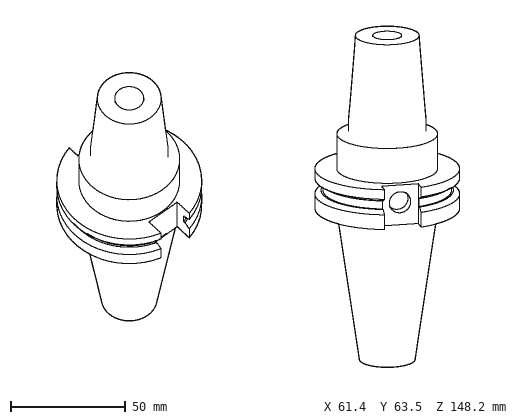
import cadquery as cq
import math

NOSE_TOP_Z = 80.0
NOSE_CONE_LENGTH = 38.0
NOSE_COLLAR_LENGTH = 7.0
TAPER_LENGTH = 68.25
FLANGE_TOP_Z = 19.05
FLANGE_BOTTOM_Z = 0.85

GAUGE_RADIUS = 44.45 / 2
TAPER_RATIO = 7 / 24
TAPER_END_RADIUS = GAUGE_RADIUS - TAPER_LENGTH * TAPER_RATIO / 2
FLANGE_RADIUS = 63.5 / 2
BODY_RADIUS = 22.1
NOSE_TOP_RADIUS = 14.0
NOSE_COLLAR_RADIUS = 17.0
NOSE_FILLET_RADIUS = 1.5

GROOVE_CENTRE_Z = 11.11
GROOVE_MOUTH_WIDTH = 7.1
GROOVE_FLOOR_WIDTH = 3.9
GROOVE_FLOOR_RADIUS = 56.36 / 2
GROOVE_WALL_ANGLE = 30

SLOT_WIDTH = 16.38
LEFT_SLOT_FLOOR = 25.1
RIGHT_SLOT_FLOOR = 22.6
SLOT_HOLE_DIAMETER = 9.6
SLOT_HOLE_DEPTH = 5.3

BORE_DIAMETER = 12.7
BORE_DEPTH = 42.0


def turned_body():
    """Taper, flange, body and nose revolved as one half profile."""
    cone_base_z = NOSE_TOP_Z - NOSE_CONE_LENGTH
    body_top_z = cone_base_z - NOSE_COLLAR_LENGTH
    profile = (
        cq.Workplane("XZ")
        .moveTo(0, -TAPER_LENGTH)
        .lineTo(TAPER_END_RADIUS, -TAPER_LENGTH)
        .lineTo(GAUGE_RADIUS, 0)
        .lineTo(GAUGE_RADIUS, FLANGE_BOTTOM_Z)
        .lineTo(FLANGE_RADIUS, FLANGE_BOTTOM_Z)
        .lineTo(FLANGE_RADIUS, FLANGE_TOP_Z)
        .lineTo(BODY_RADIUS, FLANGE_TOP_Z)
        .lineTo(BODY_RADIUS, body_top_z)
        .lineTo(NOSE_COLLAR_RADIUS + NOSE_FILLET_RADIUS, body_top_z)
        .radiusArc((NOSE_COLLAR_RADIUS, body_top_z + NOSE_FILLET_RADIUS), NOSE_FILLET_RADIUS)
        .lineTo(NOSE_COLLAR_RADIUS, cone_base_z)
        .lineTo(NOSE_TOP_RADIUS, NOSE_TOP_Z)
        .lineTo(0, NOSE_TOP_Z)
        .close()
    )
    return profile.revolve(360, (0, 0), (0, 1))


def groove():
    """Ring with sloping walls that end in flat ledges beside a square-sided floor."""
    half_mouth = GROOVE_MOUTH_WIDTH / 2
    half_floor = GROOVE_FLOOR_WIDTH / 2
    wall_drop = (half_mouth - half_floor) / math.tan(math.radians(GROOVE_WALL_ANGLE))
    ledge_radius = FLANGE_RADIUS - wall_drop
    section = (
        cq.Workplane("XZ")
        .moveTo(FLANGE_RADIUS, GROOVE_CENTRE_Z - half_mouth)
        .lineTo(ledge_radius, GROOVE_CENTRE_Z - half_floor)
        .lineTo(GROOVE_FLOOR_RADIUS, GROOVE_CENTRE_Z - half_floor)
        .lineTo(GROOVE_FLOOR_RADIUS, GROOVE_CENTRE_Z + half_floor)
        .lineTo(ledge_radius, GROOVE_CENTRE_Z + half_floor)
        .lineTo(FLANGE_RADIUS, GROOVE_CENTRE_Z + half_mouth)
        .close()
    )
    return section.revolve(360, (0, 0), (0, 1))


def drive_slot(floor_distance, side):
    """Slot through the flange height, open outwards on the +X (1) or -X (-1) side."""
    depth = FLANGE_RADIUS - floor_distance
    return (
        cq.Workplane("XY")
        .workplane(offset=FLANGE_BOTTOM_Z)
        .center(side * (floor_distance + depth / 2), 0)
        .rect(depth, SLOT_WIDTH)
        .extrude(FLANGE_TOP_Z - FLANGE_BOTTOM_Z)
    )


def slot_hole():
    """Blind radial hole in the floor of the -X slot."""
    return (
        cq.Workplane("YZ", origin=(-LEFT_SLOT_FLOOR, 0, GROOVE_CENTRE_Z))
        .circle(SLOT_HOLE_DIAMETER / 2)
        .extrude(SLOT_HOLE_DEPTH)
    )


def tool_bore():
    """Blind axial bore from the nose end."""
    return (
        cq.Workplane("XY")
        .workplane(offset=NOSE_TOP_Z)
        .circle(BORE_DIAMETER / 2)
        .extrude(-BORE_DEPTH)
    )


result = (
    turned_body()
    .cut(groove())
    .cut(drive_slot(LEFT_SLOT_FLOOR, -1))
    .cut(drive_slot(RIGHT_SLOT_FLOOR, 1))
    .cut(slot_hole())
    .cut(tool_bore())
)